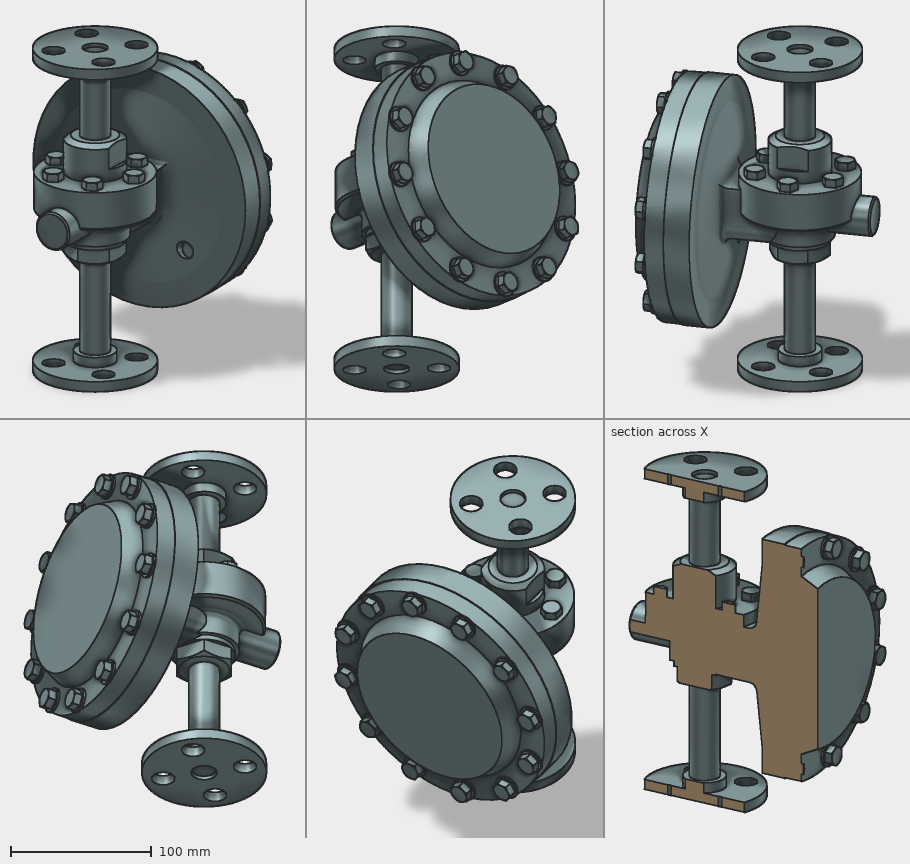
import cadquery as cq
import math


end_height = 122.2
flange_diameter = 88.7
flange_thickness = 7.8
flange_hole_diameter = 16.1
flange_hole_spacing = 42.5
bore_diameter = 18.0
bore_depth = 3.0
collar_diameter = 31.0
collar_length = 7.5
pipe_diameter = 22.0

bolt_across_flats = 13.2
bolt_head_height = 6.0

body_radius = 87.2 / 2
body_top = 28.3
body_bottom = -0.5
body_edge_chamfer = 1.7
neck_radius = 25.0
neck_fillet = 5.9
neck_bottom = -19.3
neck_step_radius = 22.0
nut_top = -23.2
nut_bottom = -35.2
nut_across_flats = 38.5
nut_face_diameter = 36.2
body_bolt_circle_radius = 33.2
body_bolt_count = 6

bonnet_top = 56.2
bonnet_diameter = 45.0
bonnet_face_diameter = 34.7
bonnet_across_flats = 38.5
bonnet_flats_bottom = 37.5

turned_edge_angle = 30.0

spigot_diameter = 28.3
spigot_end = -55.2
spigot_chamfer = 1.2

cone_inner_radius = 18.3
cone_outer_radius = 72.3
case_radius = 90.5
cover_joint_radius = 90.0
cover_face_radius = 89.7
dome_base_radius = 69.2
dome_top_radius = 62.5
cone_inner_y = 50.8
case_front_y = 57.0
case_joint_y = 76.0
cover_face_y = 90.2
case_back_y = 103.8

case_bolt_circle_radius = 81.5
case_bolt_count = 12
washer_diameter = 17.8
washer_thickness = 1.7

arm_half_width = 22.2
arm_top = 19.3
arm_bottom = -23.0
arm_corner_radius = 13.0
arm_fillet = 5.9

vent_diameter = 13.0
vent_offset = 40.0
vent_depth = 5.0
vent_tilt = 10.0

origin = (0, 0, 0)
x_axis = (1, 0, 0)
y_axis = (0, 1, 0)
z_axis = (0, 0, 1)


def cylinder(diameter, bottom, top):
    return cq.Workplane("XY").workplane(offset=bottom).circle(diameter / 2).extrude(top - bottom)


def turned_blank(diameter, face_diameter, height):
    """Round blank on the XY plane whose top edge is turned off down to face_diameter."""
    edge_width = (diameter - face_diameter) / 2
    edge_height = edge_width * math.tan(math.radians(turned_edge_angle))
    return cylinder(diameter, 0, height).faces(">Z").chamfer(edge_height, edge_width)


def hexagon_head(across_flats, height, face_diameter):
    """Hexagon on the XY plane with its top corners turned off and two corners on the Y axis."""
    across_corners = across_flats / math.cos(math.pi / 6)
    prism = cq.Workplane("XY").polygon(6, across_corners).extrude(height)
    head = prism.intersect(turned_blank(across_corners, face_diameter, height))
    return head.rotate(origin, z_axis, 90)


def bolt_head():
    return hexagon_head(bolt_across_flats, bolt_head_height, bolt_across_flats)


def ring_of(bolt, count, axis):
    """Evenly spaced copies of a bolt turned about an axis through the origin."""
    ring = bolt
    for index in range(1, count):
        ring = ring.union(bolt.rotate(origin, axis, index * 360 / count))
    return ring


def make_pipe_end():
    """Upper pipe half: pipe, collar and flange with bolt holes and a shallow bore."""
    flange_bottom = end_height - flange_thickness
    collar_bottom = flange_bottom - collar_length
    end = cylinder(pipe_diameter, 0, collar_bottom)
    end = end.union(cylinder(collar_diameter, collar_bottom, flange_bottom))
    end = end.union(cylinder(flange_diameter, flange_bottom, end_height))
    holes = (
        cq.Workplane("XY")
        .workplane(offset=flange_bottom)
        .rect(flange_hole_spacing, flange_hole_spacing, forConstruction=True)
        .vertices()
        .circle(flange_hole_diameter / 2)
        .extrude(flange_thickness)
    )
    bore = cylinder(bore_diameter, end_height - bore_depth, end_height)
    return end.cut(holes).cut(bore)


def make_body():
    """Turned valve body: bolted flange, filleted neck and the step above the nut."""
    fillet_end_radius = neck_radius + neck_fillet
    fillet_start_z = body_bottom - neck_fillet
    fillet_diagonal = neck_fillet * math.sqrt(0.5)
    fillet_middle = (fillet_end_radius - fillet_diagonal, fillet_start_z + fillet_diagonal)
    profile = (
        cq.Workplane("XZ")
        .moveTo(0, body_top)
        .lineTo(body_radius, body_top)
        .lineTo(body_radius, body_bottom + body_edge_chamfer)
        .lineTo(body_radius - body_edge_chamfer, body_bottom)
        .lineTo(fillet_end_radius, body_bottom)
        .threePointArc(fillet_middle, (neck_radius, fillet_start_z))
        .lineTo(neck_radius, neck_bottom)
        .lineTo(neck_step_radius, neck_bottom)
        .lineTo(neck_step_radius, nut_top)
        .lineTo(0, nut_top)
        .close()
    )
    return profile.revolve(360, (0, 0), (0, 1))


def make_nut():
    """Hexagon nut under the neck, turned-off face down, with corners toward +Y and -Y."""
    nut = hexagon_head(nut_across_flats, nut_top - nut_bottom, nut_face_diameter)
    return nut.mirror("XY").translate((0, 0, nut_top))


def make_bonnet():
    """Round bonnet with a turned-off top edge and two wrench flats facing +X and -X."""
    bonnet = turned_blank(bonnet_diameter, bonnet_face_diameter, bonnet_top - body_top)
    bonnet = bonnet.translate((0, 0, body_top))
    between_flats = (
        cq.Workplane("XY")
        .workplane(offset=bonnet_flats_bottom)
        .rect(bonnet_across_flats, bonnet_diameter)
        .extrude(bonnet_top - bonnet_flats_bottom)
    )
    below_flats = cylinder(bonnet_diameter, body_top, bonnet_flats_bottom)
    return bonnet.intersect(between_flats.union(below_flats))


def make_body_bolts():
    """Bolt heads on the body flange, each with a flat toward the valve axis."""
    bolt = bolt_head().translate((body_bolt_circle_radius, 0, body_top))
    return ring_of(bolt, body_bolt_count, z_axis)


def make_spigot():
    """Plain round spigot from the valve axis toward -Y."""
    spigot = cq.Workplane("XZ").circle(spigot_diameter / 2).extrude(-spigot_end)
    return spigot.faces("<Y").chamfer(spigot_chamfer)


def make_case():
    """Turned diaphragm case: front cone, rim, tapered cover and raised dome."""
    profile = (
        cq.Workplane("XY")
        .moveTo(0, cone_inner_y)
        .lineTo(cone_inner_radius, cone_inner_y)
        .lineTo(cone_outer_radius, case_front_y)
        .lineTo(case_radius, case_front_y)
        .lineTo(case_radius, case_joint_y)
        .lineTo(cover_joint_radius, case_joint_y)
        .lineTo(cover_face_radius, cover_face_y)
        .lineTo(dome_base_radius, cover_face_y)
        .lineTo(dome_top_radius, case_back_y)
        .lineTo(0, case_back_y)
        .close()
    )
    return profile.revolve(360, (0, 0), (0, 1))


def make_arm():
    """Arm with rounded lower corners that runs from the valve axis to the case."""
    height = arm_top - arm_bottom
    return (
        cq.Workplane("XZ")
        .center(0, arm_bottom + height / 2)
        .rect(2 * arm_half_width, height)
        .extrude(-case_front_y)
        .edges("|Y and <Z")
        .fillet(arm_corner_radius)
    )


def fillet_arm_root(case_with_arm):
    """Round the edges where the arm meets the case cone."""
    reach = arm_half_width + arm_fillet
    cone_middle_y = (cone_inner_y + case_front_y) / 2
    root = cq.selectors.BoxSelector((-reach, cone_inner_y, -reach), (reach, cone_middle_y, reach))
    return case_with_arm.edges(root).fillet(arm_fillet)


def make_case_bolts():
    """Washers and bolt heads on the cover, the first one half a pitch above +X."""
    first_angle = math.pi / case_bolt_count
    first_x = case_bolt_circle_radius * math.cos(first_angle)
    first_z = case_bolt_circle_radius * math.sin(first_angle)
    washer = cylinder(washer_diameter, 0, washer_thickness)
    bolt = washer.union(bolt_head().translate((0, 0, washer_thickness)))
    bolt = bolt.rotate(origin, x_axis, -90).translate((first_x, cover_face_y, first_z))
    return ring_of(bolt, case_bolt_count, y_axis)


def make_vent():
    """Cutter for the vent: a blind hole in the cone that leans outward as it goes in."""
    distance_from_axis = math.hypot(vent_offset, vent_offset)
    cone_slope = (case_front_y - cone_inner_y) / (cone_outer_radius - cone_inner_radius)
    mouth_y = cone_inner_y + (distance_from_axis - cone_inner_radius) * cone_slope
    lean = math.radians(vent_tilt)
    outward = math.sin(lean) * math.sqrt(0.5)
    direction = cq.Vector(outward, math.cos(lean), -outward)
    mouth = cq.Vector(vent_offset, mouth_y, -vent_offset)
    start = mouth - direction * vent_depth
    return cq.Solid.makeCylinder(vent_diameter / 2, 2 * vent_depth, start, direction)


case = fillet_arm_root(make_case().union(make_arm()))
case = case.union(make_case_bolts()).cut(cq.Workplane(make_vent()))

upper_end = make_pipe_end()
lower_end = upper_end.mirror("XY")

valve = make_body().union(make_nut()).union(make_bonnet()).union(make_body_bolts())
valve = valve.union(make_spigot()).union(upper_end).union(lower_end)

result = valve.union(case)